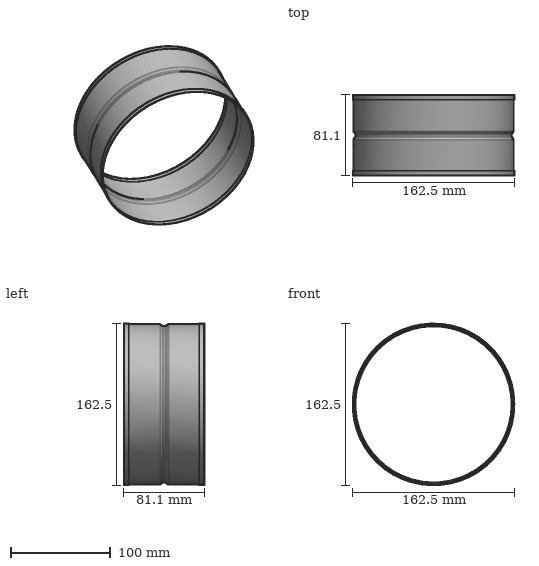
import cadquery as cq
import math

sheet = 0.5
inner_radius = 160.3 / 2
groove_inner_radius = 156.3 / 2
hem_outer_radius = 162.5 / 2
rim_plane = 40.0
hem_length = 4.5

bend_inner = 1.0
bend_outer = bend_inner + sheet
groove_half_width = 4.5
slope_angle = math.radians(35)

outer_radius = inner_radius + sheet
groove_outer_radius = groove_inner_radius + sheet
hem_inner_radius = hem_outer_radius - sheet
fold_center_radius = (inner_radius + hem_outer_radius) / 2
fold_outer = (hem_outer_radius - inner_radius) / 2
fold_inner = fold_outer - sheet
hem_end = rim_plane - hem_length

bend_drop = (bend_inner + bend_outer) * (1 - math.cos(slope_angle))
slope_run = (outer_radius - groove_outer_radius - bend_drop) / math.tan(slope_angle)
groove_flat = groove_half_width - (bend_inner + bend_outer) * math.sin(slope_angle) - slope_run


def bend_point(center_radius, center_y, bend_radius, angle):
    """Point (radius, y) on a bend, measured from its radially outward direction toward -Y."""
    return (
        center_radius + bend_radius * math.cos(angle),
        center_y - bend_radius * math.sin(angle),
    )


def half_path():
    """Open outline of the +Y half, as (radius, y), from the groove's outer to its inner bottom edge."""
    crest_center = (inner_radius - bend_inner, groove_half_width)
    root_center = (groove_outer_radius + bend_inner, groove_flat)
    half_angle = slope_angle / 2
    root_angle = math.pi + slope_angle
    root_half_angle = math.pi + half_angle

    return (
        cq.Workplane("XY")
        .moveTo(groove_outer_radius, groove_flat)
        .threePointArc(
            bend_point(*root_center, bend_inner, root_half_angle),
            bend_point(*root_center, bend_inner, root_angle),
        )
        .lineTo(*bend_point(*crest_center, bend_outer, slope_angle))
        .threePointArc(
            bend_point(*crest_center, bend_outer, half_angle),
            (outer_radius, groove_half_width),
        )
        .lineTo(outer_radius, rim_plane)
        .threePointArc((fold_center_radius, rim_plane + fold_inner), (hem_inner_radius, rim_plane))
        .lineTo(hem_inner_radius, hem_end)
        .lineTo(hem_outer_radius, hem_end)
        .lineTo(hem_outer_radius, rim_plane)
        .threePointArc((fold_center_radius, rim_plane + fold_outer), (inner_radius, rim_plane))
        .lineTo(inner_radius, groove_half_width)
        .threePointArc(
            bend_point(*crest_center, bend_inner, half_angle),
            bend_point(*crest_center, bend_inner, slope_angle),
        )
        .lineTo(*bend_point(*root_center, bend_outer, root_angle))
        .threePointArc(
            bend_point(*root_center, bend_outer, root_half_angle),
            (groove_inner_radius, groove_flat),
        )
        .wire()
        .val()
    )


def sheet_section():
    """Closed section: two mirrored halves joined by the groove's flat bottom faces."""
    half = half_path()
    edges = half.Edges() + half.mirror("XZ").Edges()
    for radius in (groove_inner_radius, groove_outer_radius):
        bottom_start = cq.Vector(radius, -groove_flat)
        bottom_end = cq.Vector(radius, groove_flat)
        edges.append(cq.Edge.makeLine(bottom_start, bottom_end))
    return cq.Wire.combine(edges)[0]


section = cq.Workplane("XY").add(sheet_section()).toPending()
result = section.revolve(360, (0, 0, 0), (0, 1, 0))